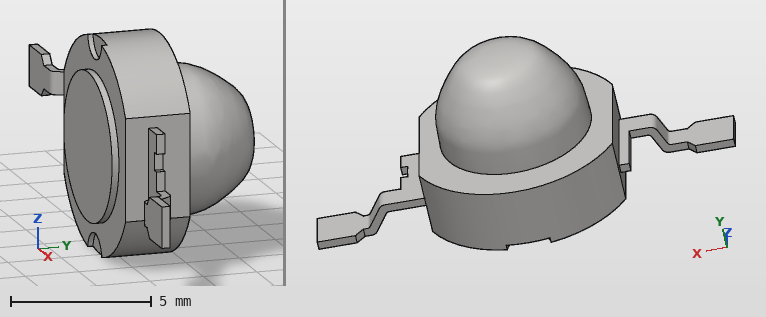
import cadquery as cq
import math


HOUSING_RADIUS = 3.99
HOUSING_DEPTH = 2.42
FLAT_HALF_WIDTH = 3.5
BASE_DIAMETER = 5.5
BASE_THICKNESS = 0.25
NOTCH_RADIUS = 0.8
NOTCH_CENTER_Z = 4.0
NOTCH_DEPTH = 0.2

LENS_DIAMETER = BASE_DIAMETER
LENS_HEIGHT = 3.29
LENS_RIM_HEIGHT = 0.05
LENS_FLANK = (2.63, 1.31)
LENS_SHOULDER = (1.89, 2.63)

LEAD_THICKNESS = 0.32
LEAD_TOP_Y = 1.18
LEAD_ROOT_X = 3.02
PAD_HALF_HEIGHT = 1.48
SHANK_WIDTH = 0.86
FOOT_WIDTH = 1.53
FOOT_LENGTH = 1.39
FOOT_TAPER = 0.29
OUTER_BEND_RADIUS = 0.27
INNER_BEND_RADIUS = 0.14

RIGHT_TIP_X = 7.63
RIGHT_PAD_X = 4.42
RIGHT_BEND_START_X = 5.06
RIGHT_BEND_END_X = 5.65
LEFT_TIP_X = 7.47
LEFT_PAD_X = 3.87
LEFT_BEND_START_X = 4.67
LEFT_BEND_END_X = 5.03

PAD_CUT_DEPTH = 0.25
PAD_CUT_BOTTOM_Z = 0.1
PAD_CUT_TOP_Z = 0.75


def disc(radius, y_start, y_end, center_z=0):
    """Round disc about an axis parallel to Y."""
    plane = cq.Plane(origin=(0, y_start, center_z), xDir=(1, 0, 0), normal=(0, 1, 0))
    return cq.Workplane(plane).circle(radius).extrude(y_end - y_start)


def make_package():
    """Flat-sided round housing with its base disc and two edge notches."""
    package = disc(HOUSING_RADIUS, 0, HOUSING_DEPTH)
    package = package.intersect(
        cq.Workplane("XY").box(2 * FLAT_HALF_WIDTH, 2 * HOUSING_DEPTH, 2 * HOUSING_RADIUS)
        .translate((0, HOUSING_DEPTH / 2, 0))
    )
    for side in (-1, 1):
        package = package.cut(disc(NOTCH_RADIUS, 0, NOTCH_DEPTH, side * NOTCH_CENTER_Z))
    return package.union(disc(BASE_DIAMETER / 2, -BASE_THICKNESS, 0))


def lead_strip(tip_x, bend_start_x, bend_end_x):
    """Bent strip of constant thickness, as wide as the whole lead."""
    drop = LEAD_TOP_Y - LEAD_THICKNESS
    bend_angle = math.atan2(drop, bend_end_x - bend_start_x)
    miter = LEAD_THICKNESS / 2 * math.tan(bend_angle / 2)
    half_width = PAD_HALF_HEIGHT + FOOT_WIDTH
    strip = (
        cq.Workplane("XY")
        .moveTo(LEAD_ROOT_X, LEAD_TOP_Y)
        .lineTo(bend_start_x + miter, LEAD_TOP_Y)
        .lineTo(bend_end_x + miter, LEAD_THICKNESS)
        .lineTo(tip_x, LEAD_THICKNESS)
        .lineTo(tip_x, 0)
        .lineTo(bend_end_x - miter, 0)
        .lineTo(bend_start_x - miter, drop)
        .lineTo(LEAD_ROOT_X, drop)
        .close()
        .extrude(half_width, both=True)
    )
    bends = (
        (bend_start_x + miter, LEAD_TOP_Y, OUTER_BEND_RADIUS),
        (bend_end_x - miter, 0, OUTER_BEND_RADIUS),
        (bend_start_x - miter, drop, INNER_BEND_RADIUS),
        (bend_end_x + miter, LEAD_THICKNESS, INNER_BEND_RADIUS),
    )
    for x, y, radius in bends:
        strip = strip.edges(cq.selectors.NearestToPointSelector((x, y, 0))).fillet(radius)
    return strip


def lead_outline(tip_x, pad_x):
    """Pad, narrow shank and tapered foot, cut straight through along Y."""
    shank_bottom = -PAD_HALF_HEIGHT
    shank_top = shank_bottom + SHANK_WIDTH
    shank_middle = (shank_bottom + shank_top) / 2
    foot_bottom = shank_middle - FOOT_WIDTH / 2
    foot_top = shank_middle + FOOT_WIDTH / 2
    foot_x = tip_x - FOOT_LENGTH
    taper_x = foot_x - FOOT_TAPER
    return (
        cq.Workplane("XZ")
        .moveTo(LEAD_ROOT_X, shank_bottom)
        .lineTo(taper_x, shank_bottom)
        .lineTo(foot_x, foot_bottom)
        .lineTo(tip_x, foot_bottom)
        .lineTo(tip_x, foot_top)
        .lineTo(foot_x, foot_top)
        .lineTo(taper_x, shank_top)
        .lineTo(pad_x, shank_top)
        .lineTo(pad_x, PAD_HALF_HEIGHT)
        .lineTo(LEAD_ROOT_X, PAD_HALF_HEIGHT)
        .close()
        .extrude(HOUSING_DEPTH, both=True)
    )


def make_lead(tip_x, pad_x, bend_start_x, bend_end_x):
    """Lead pointing toward +X."""
    return lead_strip(tip_x, bend_start_x, bend_end_x).intersect(lead_outline(tip_x, pad_x))


def pad_cut():
    """Rectangular cutter for the edge of the right pad."""
    return cq.Workplane("XY").box(
        PAD_CUT_DEPTH, LEAD_TOP_Y, PAD_CUT_TOP_Z - PAD_CUT_BOTTOM_Z, centered=False
    ).translate((RIGHT_PAD_X - PAD_CUT_DEPTH, 0, PAD_CUT_BOTTOM_Z))


def make_lens():
    """Solid dome standing on the rear face of the housing."""
    radius = LENS_DIAMETER / 2
    return (
        cq.Workplane("XY")
        .lineTo(radius, 0)
        .lineTo(radius, LENS_RIM_HEIGHT)
        .spline(
            [LENS_FLANK, LENS_SHOULDER, (0, LENS_HEIGHT)],
            tangents=[(0, 1), (-1, 0)],
            includeCurrent=True,
        )
        .close()
        .revolve(360, (0, 0, 0), (0, 1, 0))
        .translate((0, HOUSING_DEPTH, 0))
    )


right_lead = make_lead(RIGHT_TIP_X, RIGHT_PAD_X, RIGHT_BEND_START_X, RIGHT_BEND_END_X).cut(pad_cut())
left_lead = make_lead(LEFT_TIP_X, LEFT_PAD_X, LEFT_BEND_START_X, LEFT_BEND_END_X)
left_lead = left_lead.rotate((0, 0, 0), (0, 1, 0), 180)

package = make_package().union(right_lead).union(left_lead)
lens = make_lens()

result = cq.Compound.makeCompound([package.val(), lens.val()])